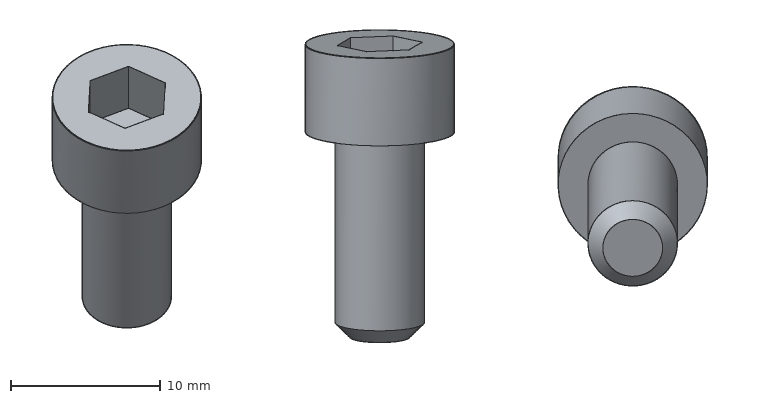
import math

import cadquery as cq

total_length = 20.0
head_diameter = 10.0
head_height = 6.0
head_edge_chamfer = 0.05
shank_diameter = 6.0
tip_chamfer = 1.0
socket_across_flats = 5.05
socket_depth = 4.0

shank_length = total_length - head_height
socket_across_corners = socket_across_flats / math.cos(math.pi / 6)


def make_shank():
    """Plain round shank with a chamfered tip."""
    shank = cq.Workplane("XY").circle(shank_diameter / 2).extrude(shank_length)
    return shank.faces("<Z").chamfer(tip_chamfer)


def make_head():
    """Cylindrical head with a fine chamfer around its top edge."""
    base = cq.Workplane("XY", origin=(0, 0, shank_length))
    head = base.circle(head_diameter / 2).extrude(head_height)
    return head.faces(">Z").chamfer(head_edge_chamfer)


def make_socket():
    """Hexagonal recess with two flats facing +Y and -Y."""
    top = cq.Workplane("XY", origin=(0, 0, total_length))
    return top.polygon(6, socket_across_corners).extrude(-socket_depth)


result = make_shank().union(make_head()).cut(make_socket())